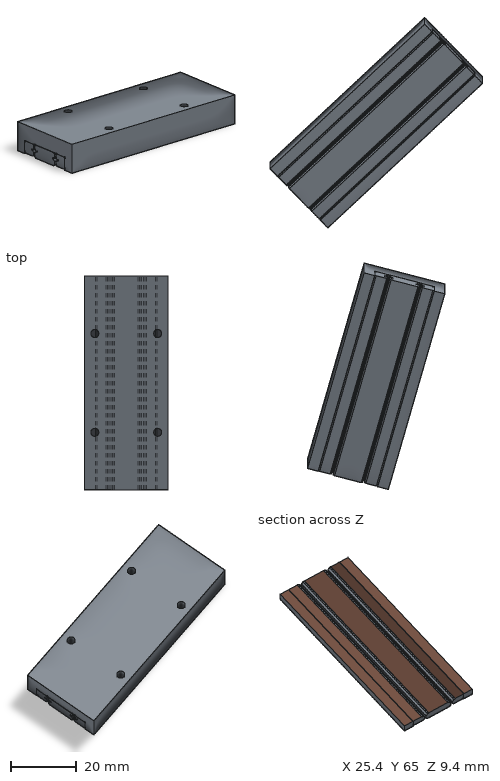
import cadquery as cq

LENGTH = 65.0
WIDTH = 25.4
HEIGHT = 9.4
CHANNEL_WIDTH = 18.7
CHANNEL_DEPTH = 4.2
RELIEF_WIDTH = 10.5
RELIEF_HEIGHT = 0.1

HOLE_DIAMETER = 2.4
HOLE_SPACING_X = 19.05
HOLE_SPACING_Y = 29.95

RAIL_OVERHANG = 0.05
RAIL_WIDTH = 9.3
RAIL_HEIGHT = 4.3
GAP = 0.5
SIDE_RAIL_BOTTOM = 0.25
CORNER_CHAMFER = 0.45

GROOVE_CENTRE_Z = 2.3
GROOVE_DEPTH = 0.7
SLOT_DEPTH = 1.05
SLOT_HEIGHT = 0.25

CARRIAGE_FRONT = -LENGTH / 2 + RAIL_OVERHANG
CARRIAGE_LENGTH = LENGTH - RAIL_OVERHANG
RACEWAY_INNER = RAIL_WIDTH / 2
RACEWAY_OUTER = RACEWAY_INNER + GAP
SIDE_RAIL_WIDTH = CHANNEL_WIDTH / 2 - RACEWAY_OUTER
SIDE_RAIL_HEIGHT = CHANNEL_DEPTH - SIDE_RAIL_BOTTOM


def bar(width, height, length, front, centre_x=0.0, bottom=0.0):
    """Box running along Y from its front face, placed by its X centre and bottom."""
    return cq.Workplane("XY").box(width, length, height, centered=(True, False, False)).translate(
        (centre_x, front, bottom)
    )


def raceway(face_x, inward):
    """Cutter for a V groove in a vertical face; inward is the X direction into the rail."""
    root_x = face_x + inward * GROOVE_DEPTH
    v_groove = (
        cq.Workplane("XZ", origin=(0, -LENGTH / 2, 0))
        .moveTo(face_x, GROOVE_CENTRE_Z - GROOVE_DEPTH)
        .lineTo(root_x, GROOVE_CENTRE_Z)
        .lineTo(face_x, GROOVE_CENTRE_Z + GROOVE_DEPTH)
        .close()
        .extrude(-LENGTH)
    )
    slot_centre_x = face_x + inward * SLOT_DEPTH / 2
    slot = bar(SLOT_DEPTH, SLOT_HEIGHT, LENGTH, -LENGTH / 2, slot_centre_x, GROOVE_CENTRE_Z - SLOT_HEIGHT / 2)
    return v_groove.union(slot)


def make_carriage():
    block = bar(WIDTH, HEIGHT, CARRIAGE_LENGTH, CARRIAGE_FRONT)
    channel = bar(CHANNEL_WIDTH, CHANNEL_DEPTH, CARRIAGE_LENGTH, CARRIAGE_FRONT)
    relief = bar(RELIEF_WIDTH, CHANNEL_DEPTH + RELIEF_HEIGHT, CARRIAGE_LENGTH, CARRIAGE_FRONT)
    holes = (
        cq.Workplane("XY", origin=(0, 0, CHANNEL_DEPTH))
        .rarray(HOLE_SPACING_X, HOLE_SPACING_Y, 2, 2)
        .circle(HOLE_DIAMETER / 2)
        .extrude(HEIGHT - CHANNEL_DEPTH)
    )
    return block.cut(channel).cut(relief).cut(holes)


def make_centre_rail():
    rail = bar(RAIL_WIDTH, RAIL_HEIGHT, LENGTH, -LENGTH / 2).edges("|Y").chamfer(CORNER_CHAMFER)
    for side in (-1, 1):
        rail = rail.cut(raceway(side * RACEWAY_INNER, -side))
    return rail


def make_side_rail(side):
    centre_x = side * (RACEWAY_OUTER + SIDE_RAIL_WIDTH / 2)
    rail = bar(
        SIDE_RAIL_WIDTH, SIDE_RAIL_HEIGHT, CARRIAGE_LENGTH, CARRIAGE_FRONT, centre_x, SIDE_RAIL_BOTTOM
    )
    rail = rail.edges("|Y").chamfer(CORNER_CHAMFER)
    return rail.cut(raceway(side * RACEWAY_OUTER, side))


carriage = make_carriage()
centre_rail = make_centre_rail()
side_rails = [make_side_rail(side) for side in (-1, 1)]

result = cq.Compound.makeCompound(
    [
        carriage.solids().val(),
        centre_rail.solids().val(),
        *[rail.solids().val() for rail in side_rails],
    ]
)